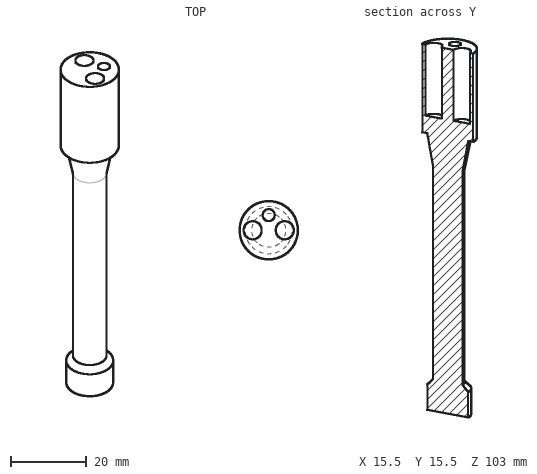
import cadquery as cq

total_length = 103.0
head_length = 25.0
neck_length = 9.0
shaft_length = 60.0

head_diameter = 15.5
neck_top_diameter = 12.5
shaft_diameter = 9.0
foot_diameter = 12.5

large_hole_diameter = 4.8
large_hole_offset = 4.25
small_hole_diameter = 3.2
small_hole_offset = 4.0
hole_depth = 20.0

head_bottom = total_length - head_length
shaft_top = head_bottom - neck_length
shaft_bottom = shaft_top - shaft_length
shoulder_height = (foot_diameter - shaft_diameter) / 2
foot_top = shaft_bottom - shoulder_height


def turned_body():
    """Head, tapered neck, shaft and foot as one revolved half profile."""
    return (
        cq.Workplane("XZ")
        .moveTo(0, 0)
        .lineTo(foot_diameter / 2, 0)
        .lineTo(foot_diameter / 2, foot_top)
        .lineTo(shaft_diameter / 2, shaft_bottom)
        .lineTo(shaft_diameter / 2, shaft_top)
        .lineTo(neck_top_diameter / 2, head_bottom)
        .lineTo(head_diameter / 2, head_bottom)
        .lineTo(head_diameter / 2, total_length)
        .lineTo(0, total_length)
        .close()
        .revolve(360, (0, 0, 0), (0, 1, 0))
    )


def top_holes(diameter, centres):
    """Cutting cylinders sunk from the top face at the given XY centres."""
    return (
        cq.Workplane("XY")
        .workplane(offset=total_length)
        .pushPoints(centres)
        .circle(diameter / 2)
        .extrude(-hole_depth)
    )


large_holes = top_holes(large_hole_diameter, [(-large_hole_offset, 0), (large_hole_offset, 0)])
small_hole = top_holes(small_hole_diameter, [(0, small_hole_offset)])

result = turned_body().cut(large_holes).cut(small_hole)